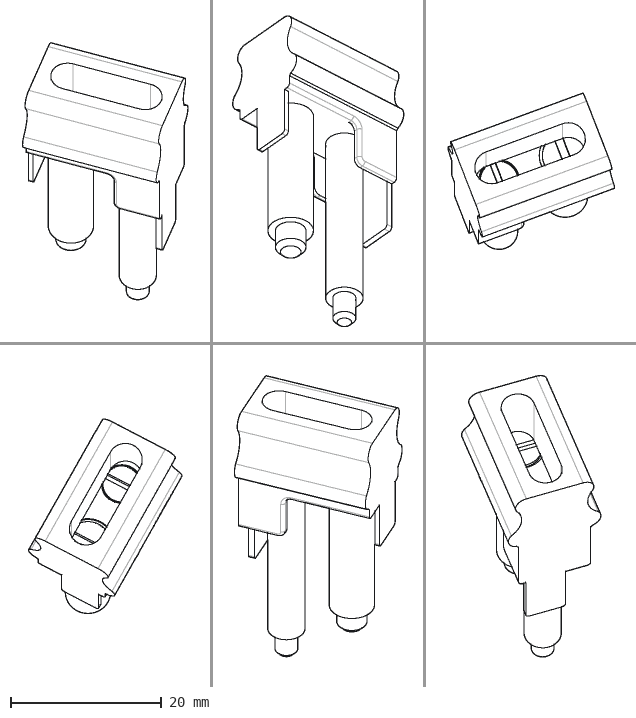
import cadquery as cq

length = 18.75
height = 41.45
half_length = length / 2

lobe_radius = 1.55
top_flat_half = 3.98
lobe_end = (5.3, 39.15)
waist = (4.65, 37.22)
bulge_start = (6.1, 34.2)
bulge_tip = (6.5, 33.08)
bulge_end = (5.3, 31.45)
skirt_top = 31.15

skirt_half_width = 5.05
skirt_wall = 1.0
end_wall = 0.85
body_bottom = 29.47
skirt_bottom = 22.92
step_x = 2.8
step_radius = 1.0
edge_radius = 0.5

leg_y_min = -4.05
leg_y_max = 1.55
leg_overlap = 0.83
left_leg_thickness = 0.65
left_leg_bottom = 22.42
right_leg_thickness = end_wall
right_leg_bottom = 15.35
leg_corner_radius = 0.5

left_pin_x = -4.8
left_pin_radius = 3.03
right_pin_x = 4.55
right_pin_radius = 2.5

slot_x = 0.15
slot_length = 15.35
slot_width = 4.48
slot_floor = 33.15
left_bore_radius = 3.45
right_bore_radius = 2.65
head_groove_depth = 0.4
driver_slot_depth = 0.83
left_driver_slot_width = 1.1
right_driver_slot_width = 0.75


def box_between(x_range, y_range, z_range):
    """Box spanning the given (min, max) ranges."""
    sizes = [high - low for low, high in (x_range, y_range, z_range)]
    corner = (x_range[0], y_range[0], z_range[0])
    return cq.Workplane("XY").box(*sizes, centered=False).translate(corner)


def grip_half():
    """+Y half of the waisted grip, extruded along X."""
    lobe_tip = (top_flat_half + lobe_radius, height - lobe_radius)
    return (
        cq.Workplane("YZ", origin=(-half_length, 0, 0))
        .moveTo(0, height)
        .lineTo(top_flat_half, height)
        .threePointArc(lobe_tip, lobe_end)
        .threePointArc(waist, bulge_start)
        .threePointArc(bulge_tip, bulge_end)
        .lineTo(skirt_half_width, skirt_top)
        .lineTo(0, skirt_top)
        .close()
        .extrude(length)
    )


def skirt():
    """Stepped skirt: solid above, two side plates and an end wall below the step."""
    outline = [
        (-half_length, skirt_top),
        (half_length, skirt_top),
        (half_length, skirt_bottom),
        (step_x, skirt_bottom),
        (step_x, body_bottom),
        (-half_length, body_bottom),
    ]
    block = (
        cq.Workplane("XZ", origin=(0, skirt_half_width, 0))
        .polyline(outline)
        .close()
        .extrude(2 * skirt_half_width)
    )
    tolerance = 0.05
    step_corners = cq.selectors.BoxSelector(
        (step_x - tolerance, -skirt_half_width, skirt_bottom - tolerance),
        (step_x + tolerance, skirt_half_width, body_bottom + tolerance),
    )
    block = block.edges("|Y").edges(step_corners).fillet(step_radius)
    block = block.faces("<Y or >Y").edges("not(>Z or <X or >X)").fillet(edge_radius)
    inner_half_width = skirt_half_width - skirt_wall
    hollow = box_between(
        (-half_length, half_length - end_wall),
        (-inner_half_width, inner_half_width),
        (skirt_bottom, body_bottom),
    )
    return block.cut(hollow)


def leg(x_min, thickness, bottom):
    """Flat leg at one end, with rounded lower corners."""
    x_range = (x_min, x_min + thickness)
    z_range = (bottom, body_bottom + leg_overlap)
    blade = box_between(x_range, (leg_y_min, leg_y_max), z_range)
    return blade.edges("|X and <Z").fillet(leg_corner_radius)


def pin(x, radius, shoulder_z, tip_radius, tip_z, chamfer_height, end_radius):
    """Stepped round pin with a bevelled tip."""
    profile = [
        (0, tip_z),
        (end_radius, tip_z),
        (tip_radius, tip_z + chamfer_height),
        (tip_radius, shoulder_z),
        (radius, shoulder_z),
        (radius, skirt_top),
        (0, skirt_top),
    ]
    return cq.Workplane("XZ").polyline(profile).close().revolve(360, (0, 0), (0, 1)).translate((x, 0, 0))


def screw_head_cut(x, bore_radius, head_radius, driver_width):
    """Ring gap around a screw head, and its driver slot, below the slot floor."""
    floor = cq.Workplane("XY", origin=(x, 0, slot_floor))
    ring = floor.circle(bore_radius).circle(head_radius).extrude(-head_groove_depth)
    driver = floor.rect(driver_width, 2 * head_radius).extrude(-driver_slot_depth)
    return ring.union(driver)


right_half = grip_half()
result = right_half.union(right_half.mirror("XZ")).union(skirt())

result = result.union(leg(-half_length, left_leg_thickness, left_leg_bottom))
result = result.union(leg(half_length - right_leg_thickness, right_leg_thickness, right_leg_bottom))

left_pin = pin(
    left_pin_x,
    left_pin_radius,
    shoulder_z=10.55,
    tip_radius=2.05,
    tip_z=7.1,
    chamfer_height=0.75,
    end_radius=1.35,
)
right_pin = pin(
    right_pin_x,
    right_pin_radius,
    shoulder_z=3.98,
    tip_radius=1.55,
    tip_z=0,
    chamfer_height=0.65,
    end_radius=0.95,
)
result = result.union(left_pin).union(right_pin)

access_slot = (
    cq.Workplane("XY", origin=(slot_x, 0, slot_floor))
    .slot2D(slot_length, slot_width)
    .extrude(height - slot_floor)
)
result = result.cut(access_slot)
result = result.cut(screw_head_cut(left_pin_x, left_bore_radius, left_pin_radius, left_driver_slot_width))
result = result.cut(screw_head_cut(right_pin_x, right_bore_radius, right_pin_radius, right_driver_slot_width))